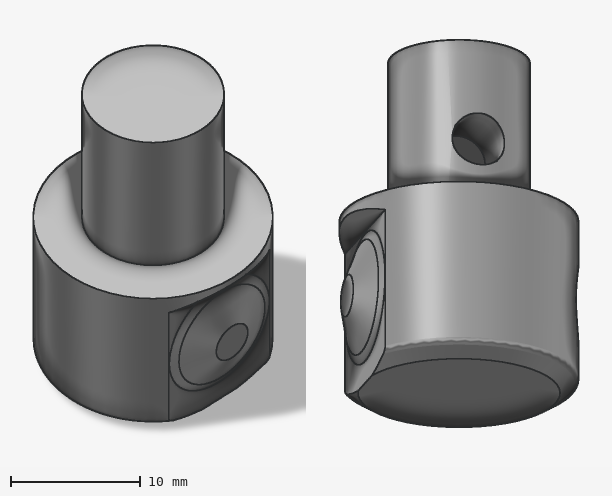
import cadquery as cq
import math

total_height = 27.0
head_diameter = 18.5
head_radius = head_diameter / 2
head_height = 14.0
stem_diameter = 11.0

bottom_radius = 7.8
bevel_height = 0.92
bevel_blend_radius = 0.62

cross_axis_height = 7.02
pin_diameter = 9.0
pin_end_radius = 8.42

flat_x = 7.6
shoulder_bottom = 12.42
shoulder_angle = 30.0

side_hole_diameter = 4.2
side_hole_height = 18.95

cone_base_diameter = 10.45
cone_tip_diameter = 3.3
cone_tip_x = 9.05


def make_head():
    """Turned head with a bevel blended into its cylindrical wall."""
    profile = (
        cq.Workplane("XZ")
        .moveTo(0, 0)
        .lineTo(bottom_radius, 0)
        .lineTo(head_radius, bevel_height)
        .lineTo(head_radius, head_height)
        .lineTo(0, head_height)
        .close()
    )
    head = profile.revolve(360, (0, 0, 0), (0, 1, 0))
    bevel_edge = cq.selectors.NearestToPointSelector((0, 0, bevel_height))
    return head.edges("%CIRCLE").edges(bevel_edge).fillet(bevel_blend_radius)


def make_cross_cylinder(start_x, end_x):
    """Cylinder on the cross axis, the shape of both the bore and the pin shank."""
    return (
        cq.Workplane("YZ", origin=(start_x, 0, cross_axis_height))
        .circle(pin_diameter / 2)
        .extrude(end_x - start_x)
    )


def make_flat_cutter():
    """Block that leaves the flat and its sloped shoulder on the +X side."""
    outer_x = head_diameter
    shoulder_rise = (outer_x - flat_x) * math.tan(math.radians(shoulder_angle))
    return (
        cq.Workplane("XZ")
        .moveTo(flat_x, 0)
        .lineTo(outer_x, 0)
        .lineTo(outer_x, shoulder_bottom + shoulder_rise)
        .lineTo(flat_x, shoulder_bottom)
        .close()
        .extrude(head_radius, both=True)
    )


def make_stem():
    """Plain round stem with a blind hole in its +Y side."""
    stem = (
        cq.Workplane("XY")
        .workplane(offset=head_height)
        .circle(stem_diameter / 2)
        .extrude(total_height - head_height)
    )
    side_hole = (
        cq.Workplane("XZ")
        .center(0, side_hole_height)
        .circle(side_hole_diameter / 2)
        .extrude(-stem_diameter)
    )
    return stem.cut(side_hole)


def make_cone():
    """Truncated cone pointing along +X from the flat."""
    cone = cq.Solid.makeCone(
        cone_base_diameter / 2,
        cone_tip_diameter / 2,
        cone_tip_x - flat_x,
        pnt=cq.Vector(flat_x, 0, cross_axis_height),
        dir=cq.Vector(1, 0, 0),
    )
    return cq.Workplane(obj=cone)


def make_housing():
    """Head and stem in one piece, bored through, with the foot of the cone around the bore."""
    head = make_head().cut(make_flat_cutter())
    bore = make_cross_cylinder(-head_diameter, head_diameter)
    return head.union(make_stem()).union(make_cone()).cut(bore)


def make_pin():
    """Cross pin with a rounded, recessed -X end and a +X end that completes the cone."""
    end_limit = cq.Workplane("XY").circle(pin_end_radius).extrude(head_height)
    recessed_end = make_cross_cylinder(-head_diameter, 0).intersect(end_limit)
    straight_shank = make_cross_cylinder(0, flat_x)
    cone_tip = make_cross_cylinder(flat_x, cone_tip_x).intersect(make_cone())
    return recessed_end.union(straight_shank).union(cone_tip)


housing = make_housing()
pin = make_pin()
result = cq.Compound.makeCompound([housing.solids().val(), pin.solids().val()])